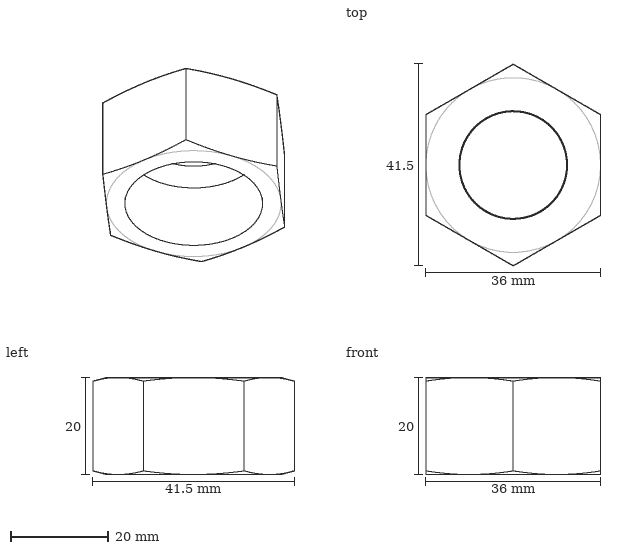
import cadquery as cq
import math

across_corners = 41.55
height = 20.0
corner_radius = across_corners / 2
flat_radius = corner_radius * math.cos(math.radians(30))

corner_chamfer_angle = 15.0
corner_drop = (corner_radius - flat_radius) * math.tan(math.radians(corner_chamfer_angle))

small_bore_radius = 22.0 / 2
wide_bore_radius = 28.4 / 2
rim_chamfer = 0.2
small_bore_depth = 1.9
cone_top = height - small_bore_depth
cone_bottom = cone_top - (wide_bore_radius - small_bore_radius)


def revolve_about_z(profile_points):
    """Revolve a closed (radius, height) profile about the Z axis."""
    profile = cq.Workplane("XZ").polyline(profile_points).close()
    return profile.revolve(360, (0, 0, 0), (0, 1, 0))


def hexagon_body():
    hexagon = (
        cq.Workplane("XY")
        .polygon(6, across_corners)
        .extrude(height)
        .rotate((0, 0, 0), (0, 0, 1), 30)
    )
    envelope = revolve_about_z([
        (0, 0),
        (flat_radius, 0),
        (corner_radius, corner_drop),
        (corner_radius, height - corner_drop),
        (flat_radius, height),
        (0, height),
    ])
    return hexagon.intersect(envelope)


def bore():
    return revolve_about_z([
        (0, 0),
        (wide_bore_radius, 0),
        (wide_bore_radius, cone_bottom),
        (small_bore_radius, cone_top),
        (small_bore_radius, height - rim_chamfer),
        (small_bore_radius + rim_chamfer, height),
        (0, height),
    ])


result = hexagon_body().cut(bore())